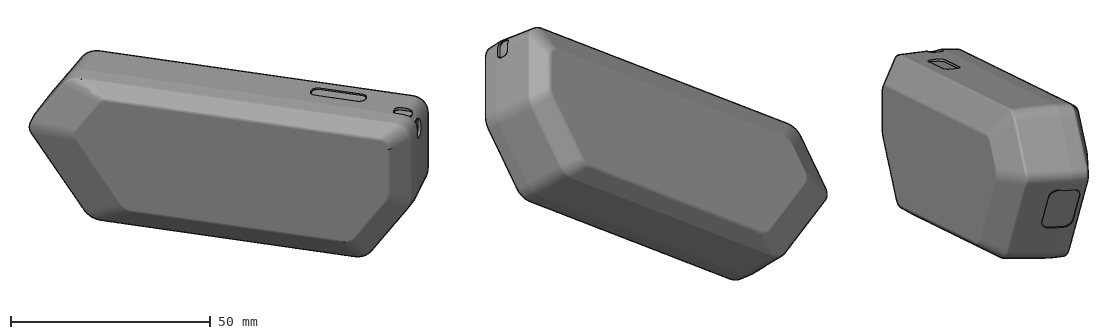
import cadquery as cq
import math

LENGTH = 100.4
DEPTH = 25.1
HEIGHT = 40.1

SLANT = math.radians(55)
TIP_HEIGHT = 23.8
TIP_RADIUS = 2.9
RIGHT_SIDE_FOOT = 17.4

FRONT_RIDGE_Y = 4.5
PARTING_Y = 8.8
BACK_RIDGE_Y = 20.8

FRONT_DRAFT = 0.2
BACK_DRAFT = 0.6

FRONT_FACE_INSETS = [2.7, 9.9, 12.4, 6.5, 5.7, 4.5]
BACK_FACE_INSETS = [7.8, 9.5, 8.9, 3.1, 4.5, 3.8]

BODY_RADII = [5.6, TIP_RADIUS, 5.6, 5.2, 6.0, 4.1]
FRONT_FACE_RADII = [2.6, 2.9, 4.2, 3.5, 4.9, 2.6]
BACK_FACE_RADII = [3.5, 2.9, 4.2, 3.5, 4.9, 2.6]

RIDGE_RADIUS = 0.8
FACE_EDGE_RADIUS = 1.0

SLOT_X, SLOT_Y = 78.0, 15.2
SLOT_LENGTH, SLOT_WIDTH, SLOT_CORNER = 14.3, 4.3, 1.7
SLOT_DEPTH = 0.5

PAD_Y, PAD_Z = 9.8, 14.7
PAD_LENGTH, PAD_WIDTH, PAD_CORNER = 13.2, 8.2, 2.3
PAD_DEPTH = 0.4

NOTCH_Y = 11.1
NOTCH_FROM_CORNER = 4.3
NOTCH_LENGTH, NOTCH_WIDTH, NOTCH_CORNER = 4.6, 3.6, 1.3
NOTCH_DEPTH = 0.9

RING_MARGIN = 0.1
CUTTER_HEIGHT = 3.0

TIP_X = -TIP_RADIUS * (1 / math.sin(SLANT) - 1)
QUARTER = math.pi / 2

SIDES = [
    (QUARTER, LENGTH, HEIGHT),
    (QUARTER + SLANT, TIP_X, TIP_HEIGHT),
    (3 * QUARTER - SLANT, TIP_X, TIP_HEIGHT),
    (3 * QUARTER, 0, 0),
    (3 * QUARTER + SLANT, LENGTH, RIGHT_SIDE_FOOT),
    (4 * QUARTER, LENGTH, 0),
]


def corner_point(side_a, side_b, inset_a, inset_b):
    """Meeting point of two sides after each is moved inward."""
    angle_a, xa, za = side_a
    angle_b, xb, zb = side_b
    reach_a = xa * math.cos(angle_a) + za * math.sin(angle_a) - inset_a
    reach_b = xb * math.cos(angle_b) + zb * math.sin(angle_b) - inset_b
    turn = math.sin(angle_b - angle_a)
    x = (reach_a * math.sin(angle_b) - reach_b * math.sin(angle_a)) / turn
    z = (reach_b * math.cos(angle_a) - reach_a * math.cos(angle_b)) / turn
    return x, z


def outline(y, insets, radii):
    """Closed six-sided outline with round corners at depth y."""
    arcs = []
    for i, radius in enumerate(radii):
        side_a = SIDES[i]
        side_b = SIDES[(i + 1) % len(SIDES)]
        x, z = corner_point(side_a, side_b, insets[i], insets[(i + 1) % len(SIDES)])
        half_turn = ((side_b[0] - side_a[0]) % (2 * math.pi)) / 2
        middle = side_a[0] + half_turn
        to_centre = radius / math.cos(half_turn)
        centre_x = x - to_centre * math.cos(middle)
        centre_z = z - to_centre * math.sin(middle)
        arcs.append([
            cq.Vector(centre_x + radius * math.cos(angle), y, centre_z + radius * math.sin(angle))
            for angle in (side_a[0], middle, side_b[0])
        ])
    edges = []
    for previous, arc in zip(arcs[-1:] + arcs[:-1], arcs):
        edges.append(cq.Edge.makeLine(previous[-1], arc[0]))
        edges.append(cq.Edge.makeThreePointArc(*arc))
    return cq.Wire.assembleEdges(edges)


def body():
    """Two shell halves tapering from the parting outline to the front and back faces."""
    count = len(SIDES)
    sections = [
        outline(0, FRONT_FACE_INSETS, FRONT_FACE_RADII),
        outline(FRONT_RIDGE_Y, [FRONT_DRAFT] * count, BODY_RADII),
        outline(PARTING_Y, [0] * count, BODY_RADII),
        outline(BACK_RIDGE_Y, [BACK_DRAFT] * count, BODY_RADII),
        outline(DEPTH, BACK_FACE_INSETS, BACK_FACE_RADII),
    ]
    shape = cq.Workplane(cq.Solid.makeLoft(sections, True))
    rounded_rings = [
        (FRONT_RIDGE_Y, RIDGE_RADIUS),
        (BACK_RIDGE_Y, RIDGE_RADIUS),
        (0, FACE_EDGE_RADIUS),
        (DEPTH, FACE_EDGE_RADIUS),
    ]
    for y, radius in rounded_rings:
        low = (-LENGTH, y - RING_MARGIN, -HEIGHT)
        high = (2 * LENGTH, y + RING_MARGIN, 2 * HEIGHT)
        shape = shape.edges(cq.selectors.BoxSelector(low, high)).fillet(radius)
    return shape


def recess(floor, along, outward, length, width, corner):
    """Cutter with a rounded rectangular floor, reaching outward from the floor centre."""
    plane = cq.Plane(origin=floor, xDir=along, normal=outward)
    block = cq.Workplane(plane).rect(length, width).extrude(CUTTER_HEIGHT)
    return block.edges(cq.selectors.ParallelDirSelector(cq.Vector(outward))).fillet(corner)


def slot():
    floor_z = HEIGHT - SLOT_DEPTH
    taper = BACK_DRAFT * (SLOT_Y - PARTING_Y) / (BACK_RIDGE_Y - PARTING_Y)
    floor = (SLOT_X, SLOT_Y, floor_z - taper)
    return recess(floor, (1, 0, 0), (0, 0, 1), SLOT_LENGTH, SLOT_WIDTH, SLOT_CORNER)


def pad():
    outward = (-math.sin(SLANT), 0, -math.cos(SLANT))
    along = (math.cos(SLANT), 0, -math.sin(SLANT))
    surface_x = TIP_X + (TIP_HEIGHT - PAD_Z) / math.tan(SLANT)
    floor = (surface_x - PAD_DEPTH * outward[0], PAD_Y, PAD_Z - PAD_DEPTH * outward[2])
    return recess(floor, along, outward, PAD_LENGTH, PAD_WIDTH, PAD_CORNER)


def strap_notches():
    top_floor = (LENGTH - NOTCH_FROM_CORNER, NOTCH_Y, HEIGHT - NOTCH_DEPTH)
    side_floor = (LENGTH - NOTCH_DEPTH, NOTCH_Y, HEIGHT - NOTCH_FROM_CORNER)
    top = recess(top_floor, (1, 0, 0), (0, 0, 1), NOTCH_LENGTH, NOTCH_WIDTH, NOTCH_CORNER)
    side = recess(side_floor, (0, 0, 1), (1, 0, 0), NOTCH_LENGTH, NOTCH_WIDTH, NOTCH_CORNER)
    return top.union(side)


result = body().cut(slot()).cut(pad()).cut(strap_notches())